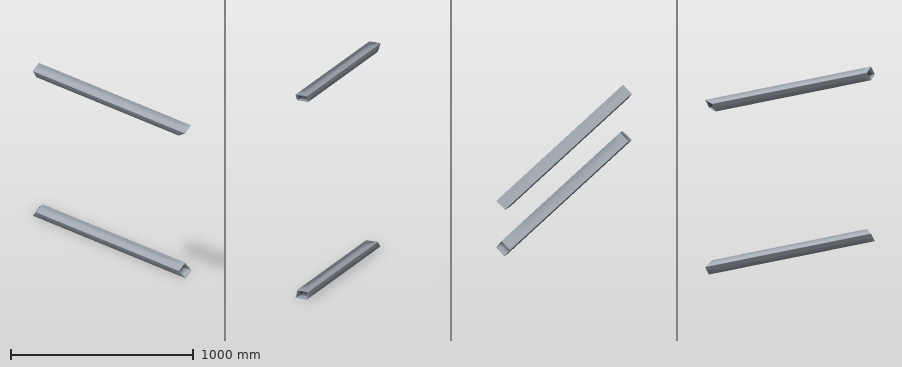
import cadquery as cq
import math

length = 953.0
frame_height = 1184.0

tube_width = 70.0
tube_height = 40.0
wall = 3.0
corner_radius = 2.0

left_mitre = 30.0
right_mitre = 45.0


def tube_bar(width, height):
    """Solid bar along X, starting at X = 0 and centred on the axis."""
    return cq.Workplane("YZ").rect(width, height).extrude(length)


def mitre_envelope():
    """Trapezoidal block, long side at the top, that trims both ends of a rail."""
    left_setback = tube_height * math.tan(math.radians(left_mitre))
    right_setback = tube_height * math.tan(math.radians(right_mitre))
    outline = [
        (0, tube_height / 2),
        (length, tube_height / 2),
        (length - right_setback, -tube_height / 2),
        (left_setback, -tube_height / 2),
    ]
    return cq.Workplane("XZ").polyline(outline).close().extrude(tube_width / 2, both=True)


def mitred_rail():
    """Hollow rectangular tube with mitred ends, its long face upward."""
    bore = tube_bar(tube_width - 2 * wall, tube_height - 2 * wall)
    tube = tube_bar(tube_width, tube_height).edges("|X").fillet(corner_radius).cut(bore)
    return tube.intersect(mitre_envelope()).translate((-length / 2, 0, 0))


rail_offset = (frame_height - tube_height) / 2
top_rail = mitred_rail().translate((0, 0, rail_offset))
rails = [top_rail, top_rail.mirror("XY")]

result = cq.Compound.makeCompound([rail.val() for rail in rails])